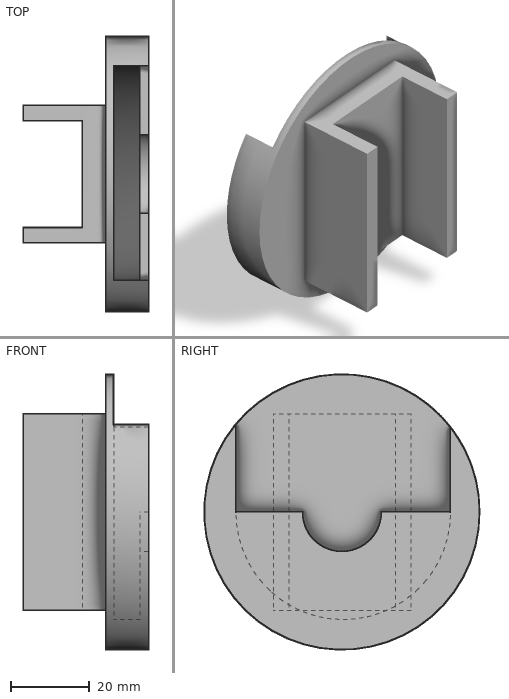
import cadquery as cq

body_diameter = 70
body_depth = 11.0
plate_thickness = 2.0

pocket_width = 54.5
pocket_offset_y = 0.3
lip_thickness = 2.3
lip_top_z = 0

notch_width = 20.0

bracket_depth = 21
bracket_width = 35
bracket_height = 50.0
bracket_wall = 4.0
bracket_web = 6.0

body_radius = body_diameter / 2
lip_start = body_depth - lip_thickness


def open_topped_slot(width, center_y, start_x, end_x):
    """Half-round bottom centred at Z = 0, with vertical sides running past the body."""
    radius = width / 2
    return (
        cq.Workplane("YZ", origin=(start_x, center_y, 0))
        .moveTo(-radius, body_diameter)
        .lineTo(-radius, 0)
        .threePointArc((0, -radius), (radius, 0))
        .lineTo(radius, body_diameter)
        .close()
        .extrude(end_x - start_x)
    )


def make_body():
    disc = cq.Workplane("YZ").circle(body_radius).extrude(body_depth)
    pocket = open_topped_slot(pocket_width, pocket_offset_y, plate_thickness, lip_start)
    notch = open_topped_slot(notch_width, 0, lip_start, body_depth)
    above_lip = cq.Workplane("XY").box(
        lip_thickness, pocket_width, body_diameter, centered=(False, True, False)
    ).translate((lip_start, pocket_offset_y, lip_top_z))
    return disc.cut(pocket).cut(notch).cut(above_lip)


def make_bracket():
    block = cq.Workplane("XY").box(
        bracket_depth, bracket_width, bracket_height, centered=(False, True, True)
    )
    channel = cq.Workplane("XY").box(
        bracket_depth - bracket_web,
        bracket_width - 2 * bracket_wall,
        bracket_height,
        centered=(False, True, True),
    )
    return block.cut(channel).translate((-bracket_depth, 0, 0))


result = make_body().union(make_bracket())